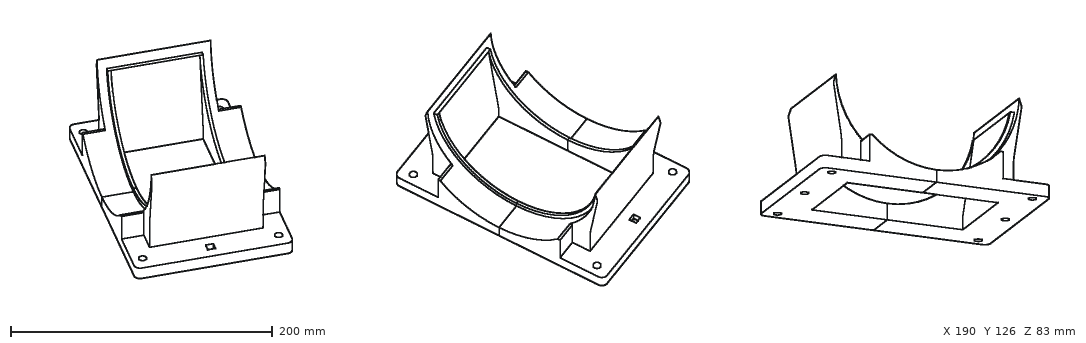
import cadquery as cq

plate_length = 190.0
plate_width = 126.0
plate_height = 10.0
corner_radius = 5.0
overall_height = 83.0

saddle_radius = 76.0
saddle_center_z = plate_height + saddle_radius

lip_thickness = 3.2
lip_radius = saddle_radius - lip_thickness
lip_length = 76.0
lip_top_z = 73.7

cheek_length = 90.5
cheek_half_width = 71.2
cheek_bend_z = 32.0
cheek_bend_radius = 60.8
knee_half_width = 78.0
knee_z = 76.5
knee_radius = 6.0
bend_search_margin = 0.2

block_half_width = 55.3
block_top_z = 31.7

window_length = 70.7
window_half_width = 62.5

bolt_x = 83.2
bolt_y = 54.2
bolt_diameter = 6.0
square_socket_side = 6.0
square_socket_depth = 5.0


def circle_height_to_half_width(radius, z):
    """Half width of a circle about the saddle axis at height z."""
    return (radius**2 - (saddle_center_z - z) ** 2) ** 0.5


def extrude_along_y(outline, length):
    """Extrude a closed XZ outline symmetrically about Y = 0."""
    return outline.extrude(length / 2, both=True)


def saddle_cylinder(radius, length):
    return extrude_along_y(cq.Workplane("XZ").center(0, saddle_center_z).circle(radius), length)


def base_plate():
    plate = cq.Workplane("XY").box(plate_length, plate_width, plate_height, centered=(True, True, False))
    return plate.edges("|Z").fillet(corner_radius)


def end_blocks():
    """Low blocks running the full width of the plate."""
    return cq.Workplane("XY").box(
        2 * block_half_width, plate_width, block_top_z, centered=(True, True, False)
    )


def cheeks():
    """Both cheeks as one profile; the saddle later cuts them to knife edges."""
    tip_half_width = circle_height_to_half_width(saddle_radius, overall_height)
    right_side = [
        (cheek_half_width, 0),
        (cheek_half_width, cheek_bend_z),
        (knee_half_width, knee_z),
        (tip_half_width, overall_height),
    ]
    left_side = [(-x, z) for x, z in reversed(right_side)]
    profile = extrude_along_y(cq.Workplane("XZ").polyline(right_side + left_side).close(), cheek_length)
    for z, radius in ((cheek_bend_z, cheek_bend_radius), (knee_z, knee_radius)):
        bend_edges = cq.selectors.BoxSelector(
            (-plate_length, -plate_width, z - bend_search_margin),
            (plate_length, plate_width, z + bend_search_margin),
        )
        profile = profile.edges("|Y").edges(bend_edges).fillet(radius)
    return profile


def lip():
    """Ring segment that lines the middle of the saddle below lip_top_z."""
    ring = saddle_cylinder(saddle_radius, lip_length).cut(saddle_cylinder(lip_radius, lip_length))
    below_top = cq.Workplane("XY").box(plate_length, plate_width, lip_top_z, centered=(True, True, False))
    return ring.intersect(below_top)


def window():
    top_half_width = circle_height_to_half_width(lip_radius, lip_top_z)
    right_side = [
        (window_half_width, 0),
        (window_half_width, plate_height),
        (top_half_width, lip_top_z),
    ]
    left_side = [(-x, z) for x, z in reversed(right_side)]
    return extrude_along_y(cq.Workplane("XZ").polyline(right_side + left_side).close(), window_length)


def bolt_holes():
    """Three through holes at each end; the middle one has a square socket."""
    positions = [(x, y) for x in (-bolt_x, bolt_x) for y in (-bolt_y, 0, bolt_y)]
    holes = cq.Workplane("XY").pushPoints(positions).circle(bolt_diameter / 2).extrude(plate_height)
    sockets = (
        cq.Workplane("XY", origin=(0, 0, plate_height))
        .pushPoints([(-bolt_x, 0), (bolt_x, 0)])
        .rect(square_socket_side, square_socket_side)
        .extrude(-square_socket_depth)
    )
    return holes.union(sockets)


def complete_cradle():
    solid = base_plate().union(end_blocks()).union(cheeks())
    solid = solid.cut(saddle_cylinder(saddle_radius, plate_width))
    return solid.union(lip()).cut(window()).cut(bolt_holes())


def cradle_half(cradle, side):
    """The part of the cradle on one side of X = 0 (side is -1 or 1)."""
    half_space = cq.Workplane("XY").box(
        plate_length / 2, plate_width, overall_height, centered=(True, True, False)
    )
    return cradle.intersect(half_space.translate((side * plate_length / 4, 0, 0)))


cradle = complete_cradle()
left_half = cradle_half(cradle, -1)
right_half = cradle_half(cradle, 1)

result = cq.Compound.makeCompound([*left_half.solids().vals(), *right_half.solids().vals()])